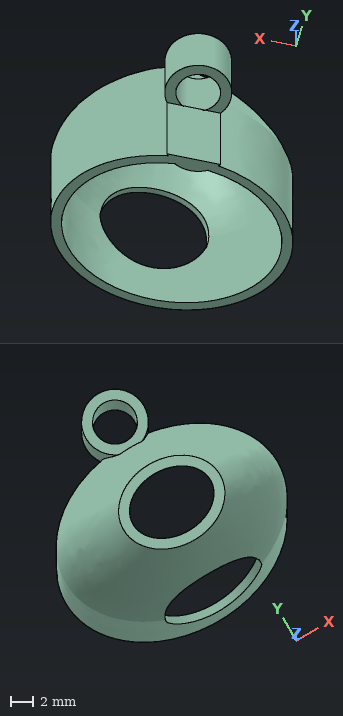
import cadquery as cq

outer_base = (22.0, 16.6)
outer_middle = (18.12, 13.0)
outer_top = (10.0, 8.0)
inner_base = (19.99, 15.0)
inner_middle = (16.35, 11.83)
inner_top = (8.0, 6.0)

total_height = 20.0
skirt_height = total_height / 2
dome_height = total_height - skirt_height

window_diameter = 10.0

ring_diameter = 6.0
bore_diameter = 4.0
ring_center_y = 10.0
ring_bottom = 8.0
ring_height = 5.0


def bell(base, middle, top):
    """Solid bell: straight oval skirt under a dome lofted through three ovals."""
    skirt = cq.Workplane("XY").ellipse(base[0] / 2, base[1] / 2).extrude(skirt_height)
    dome = (
        cq.Workplane("XY", origin=(0, 0, skirt_height))
        .ellipse(base[0] / 2, base[1] / 2)
        .workplane(offset=dome_height / 2)
        .ellipse(middle[0] / 2, middle[1] / 2)
        .workplane(offset=dome_height / 2)
        .ellipse(top[0] / 2, top[1] / 2)
        .loft(combine=True)
    )
    return skirt.union(dome)


def upright_cylinder(diameter, bottom, height):
    """Vertical cylinder on the ring axis."""
    return (
        cq.Workplane("XY", origin=(0, ring_center_y, bottom))
        .circle(diameter / 2)
        .extrude(height)
    )


def front_window():
    """Cutter running from the middle of the bell out through the front wall."""
    return (
        cq.Workplane("XZ", origin=(0, 0, skirt_height))
        .circle(window_diameter / 2)
        .extrude(outer_base[1])
    )


def inner_post():
    """Sliver of the ring cylinder inside the back wall, flat at the back of the skirt."""
    back_limit = cq.Workplane("XY").box(
        outer_base[0], outer_base[1], ring_bottom, centered=(True, True, False)
    )
    return upright_cylinder(ring_diameter, 0, ring_bottom).intersect(back_limit)


outer_bell = bell(outer_base, outer_middle, outer_top)
cavity = bell(inner_base, inner_middle, inner_top)
shell = outer_bell.cut(cavity).cut(front_window())
ring = upright_cylinder(ring_diameter, ring_bottom, ring_height)
bore = upright_cylinder(bore_diameter, ring_bottom, ring_height)

result = shell.union(ring).union(inner_post()).cut(bore)